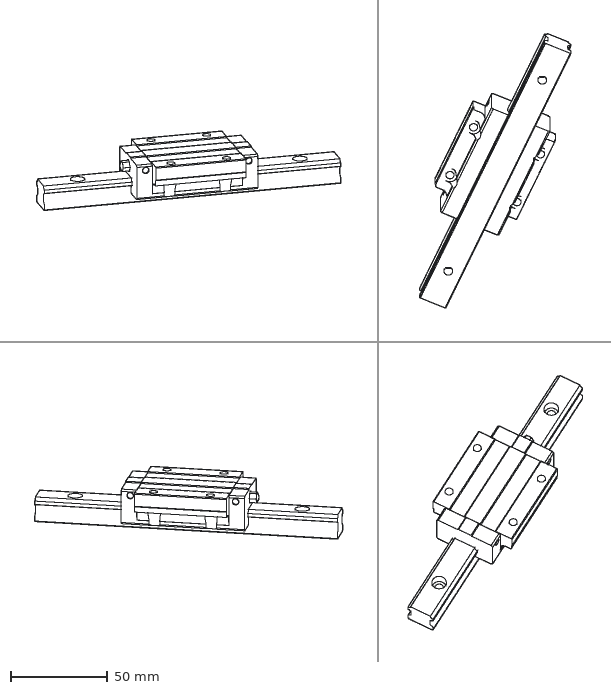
import cadquery as cq
import math


RAIL_LENGTH = 160.0
RAIL_HALF_WIDTH = 7.5
RAIL_HEIGHT = 13.1
RAIL_FOOT_CHAMFER = 0.5
FOOT_TOP_Z = 3.2
SHOULDER_Z = 4.8
NECK_HALF_WIDTH = 5.6
NECK_TOP_Z = 8.0
LEDGE_HALF_WIDTH = 6.7
LEDGE_Z = 9.3
HEAD_SIDE_TOP_Z = 11.4
RAIL_TOP_HALF_WIDTH = 6.0
RAIL_TOP_LIP = 0.3
NECK_EDGE_RADIUS = 0.6
HEAD_EDGE_RADIUS = 0.5
RAIL_HOLE_SPACING = 120.0
RAIL_HOLE_DIAMETER = 4.5
RAIL_COUNTERBORE_DIAMETER = 7.5
RAIL_COUNTERBORE_DEPTH = 5.3

TOTAL_HEIGHT = 24.0
BLOCK_LENGTH = 48.6
FLANGE_HALF_WIDTH = 23.5
FLANGE_TOP_CHAMFER = 0.5
FLANGE_STEP = 0.5
FLANGE_STEP_Z = 17.0
FLANGE_BOTTOM_Z = 13.5
FLANGE_FILLET_RADIUS = 2.5
FLANGE_EDGE_RADIUS = 0.6
WALL_HALF_WIDTH = 17.1
WALL_INSET = 0.6
GROOVE_DEPTH = 0.5
GROOVE_INNER = 4.8
GROOVE_OUTER = 13.6

CAP_TOTAL_LENGTH = 65.3
CAP_HALF_WIDTH = 16.6
CAP_TOP_Z = 23.8
CAP_BOTTOM_Z = 4.5
CAP_BOTTOM_CHAMFER = 1.0
CAP_SHOULDER_DROP = 0.5
CAP_RIDGE_HALF_WIDTH = 3.7
CAP_TOP_CHAMFER = 1.0
STRIP_TOP_Z = 7.2
SIDE_HOLE_DIAMETER = 3.4
SIDE_HOLE_DEPTH = 1.0
SIDE_HOLE_Y = 27.8
SIDE_HOLE_Z = 20.3

MOUNT_SPACING_X = 38.0
MOUNT_SPACING_Y = 30.0
MOUNT_HOLE_DIAMETER = 4.2
SCREW_RELIEF_DIAMETER = 7.5

NIPPLE_Z = 18.0
NIPPLE_SIDES = 6
NIPPLE_ACROSS_FLATS = 5.0
NIPPLE_LENGTH = 3.5
NIPPLE_DOME_HEIGHT = 1.0
NIPPLE_DOME_DIAMETER = 5.0
NIPPLE_SEAT_DIAMETER = 6.2
NIPPLE_SEAT_DEPTH = 1.0


def extrude_along_rail(profile, length):
    """Extrude a closed XZ outline symmetrically about Y = 0."""
    return profile.close().extrude(length / 2, both=True)


def slab(half_width, length, z_bottom, z_top):
    """Box centred on X = 0 and Y = 0 between two heights."""
    height = z_top - z_bottom
    return cq.Workplane("XY", origin=(0, 0, z_bottom)).box(
        2 * half_width, length, height, centered=(True, True, False)
    )


def round_long_edges(body, corners, radius):
    """Fillet the edges along Y that pass nearest each (x, z) corner and its mirror image."""
    for x, z in corners:
        for side in (-1, 1):
            edge = cq.selectors.NearestToPointSelector((side * x, 0, z))
            body = body.edges("|Y").edges(edge).fillet(radius)
    return body


def rail_blank():
    """Rail section: chamfered foot, narrow neck and a head with concave upper corners."""
    arc_width = RAIL_HALF_WIDTH - RAIL_TOP_HALF_WIDTH
    lip_z = RAIL_HEIGHT - RAIL_TOP_LIP
    arc_height = lip_z - HEAD_SIDE_TOP_Z
    arc_x = RAIL_HALF_WIDTH - arc_width * math.sin(math.pi / 4)
    arc_z = lip_z - arc_height * math.sin(math.pi / 4)
    right_side = [
        (RAIL_HALF_WIDTH - RAIL_FOOT_CHAMFER, 0),
        (RAIL_HALF_WIDTH, RAIL_FOOT_CHAMFER),
        (RAIL_HALF_WIDTH, FOOT_TOP_Z),
        (NECK_HALF_WIDTH, SHOULDER_Z),
        (NECK_HALF_WIDTH, NECK_TOP_Z),
        (LEDGE_HALF_WIDTH, LEDGE_Z),
        (RAIL_HALF_WIDTH, LEDGE_Z),
        (RAIL_HALF_WIDTH, HEAD_SIDE_TOP_Z),
    ]
    left_side = [(-x, z) for x, z in reversed(right_side)]
    profile = (
        cq.Workplane("XZ")
        .polyline(right_side)
        .threePointArc((arc_x, arc_z), (RAIL_TOP_HALF_WIDTH, lip_z))
        .lineTo(RAIL_TOP_HALF_WIDTH, RAIL_HEIGHT)
        .lineTo(-RAIL_TOP_HALF_WIDTH, RAIL_HEIGHT)
        .lineTo(-RAIL_TOP_HALF_WIDTH, lip_z)
        .threePointArc((-arc_x, arc_z), left_side[0])
    )
    for point in left_side[1:]:
        profile = profile.lineTo(*point)
    blank = extrude_along_rail(profile, RAIL_LENGTH)
    neck_corners = [
        (RAIL_HALF_WIDTH, FOOT_TOP_Z),
        (NECK_HALF_WIDTH, SHOULDER_Z),
        (NECK_HALF_WIDTH, NECK_TOP_Z),
    ]
    blank = round_long_edges(blank, neck_corners, NECK_EDGE_RADIUS)
    return round_long_edges(blank, [(RAIL_HALF_WIDTH, LEDGE_Z)], HEAD_EDGE_RADIUS)


def make_rail():
    """Rail with counterbored screw holes."""
    return (
        rail_blank()
        .faces(">Z")
        .workplane(origin=(0, 0, RAIL_HEIGHT))
        .rarray(1.6, RAIL_HOLE_SPACING, 1, 2)
        .cboreHole(RAIL_HOLE_DIAMETER, RAIL_COUNTERBORE_DIAMETER, RAIL_COUNTERBORE_DEPTH)
    )


def flanged_block():
    """Middle of the carriage: two flanges filleted into walls that lean inward."""
    fillet_end_z = FLANGE_BOTTOM_Z - FLANGE_FILLET_RADIUS
    fillet_start_x = WALL_HALF_WIDTH + FLANGE_FILLET_RADIUS
    fillet_offset = FLANGE_FILLET_RADIUS * (1 - math.sin(math.pi / 4))
    wall_foot_x = WALL_HALF_WIDTH - WALL_INSET
    lower_flange_x = FLANGE_HALF_WIDTH - FLANGE_STEP
    side = (
        cq.Workplane("XZ")
        .moveTo(0, STRIP_TOP_Z)
        .lineTo(wall_foot_x, STRIP_TOP_Z)
        .lineTo(WALL_HALF_WIDTH, fillet_end_z)
        .threePointArc(
            (WALL_HALF_WIDTH + fillet_offset, FLANGE_BOTTOM_Z - fillet_offset),
            (fillet_start_x, FLANGE_BOTTOM_Z),
        )
        .lineTo(lower_flange_x - FLANGE_EDGE_RADIUS, FLANGE_BOTTOM_Z)
        .tangentArcPoint((lower_flange_x, FLANGE_BOTTOM_Z + FLANGE_EDGE_RADIUS), relative=False)
        .lineTo(lower_flange_x, FLANGE_STEP_Z - FLANGE_STEP)
        .lineTo(FLANGE_HALF_WIDTH, FLANGE_STEP_Z)
        .lineTo(FLANGE_HALF_WIDTH, TOTAL_HEIGHT - FLANGE_TOP_CHAMFER)
        .lineTo(FLANGE_HALF_WIDTH - FLANGE_TOP_CHAMFER, TOTAL_HEIGHT)
        .lineTo(0, TOTAL_HEIGHT)
    )
    half_block = extrude_along_rail(side, BLOCK_LENGTH)
    return half_block.union(half_block.mirror("YZ"))


def top_groove(direction):
    """Shallow groove with sloped sides in the top of the block, on one side of the middle."""
    floor_z = TOTAL_HEIGHT - GROOVE_DEPTH
    profile = cq.Workplane("XZ").polyline([
        (direction * (GROOVE_INNER - GROOVE_DEPTH / 2), TOTAL_HEIGHT),
        (direction * (GROOVE_INNER + GROOVE_DEPTH / 2), floor_z),
        (direction * (GROOVE_OUTER - GROOVE_DEPTH / 2), floor_z),
        (direction * (GROOVE_OUTER + GROOVE_DEPTH / 2), TOTAL_HEIGHT),
    ])
    return extrude_along_rail(profile, BLOCK_LENGTH)


def cap_blank():
    """Chamfered end cap section with a low middle ridge, over the full carriage length."""
    shoulder_z = CAP_TOP_Z - CAP_SHOULDER_DROP
    right_side = [
        (CAP_HALF_WIDTH - CAP_BOTTOM_CHAMFER, CAP_BOTTOM_Z),
        (CAP_HALF_WIDTH, CAP_BOTTOM_Z + CAP_BOTTOM_CHAMFER),
        (CAP_HALF_WIDTH, shoulder_z - CAP_TOP_CHAMFER),
        (CAP_HALF_WIDTH - CAP_TOP_CHAMFER, shoulder_z),
        (CAP_RIDGE_HALF_WIDTH + CAP_SHOULDER_DROP, shoulder_z),
        (CAP_RIDGE_HALF_WIDTH, CAP_TOP_Z),
    ]
    left_side = [(-x, z) for x, z in reversed(right_side)]
    profile = cq.Workplane("XZ").polyline(right_side + left_side)
    return extrude_along_rail(profile, CAP_TOTAL_LENGTH)


def caps_and_strip():
    """Both end caps, joined under the block by the base strip."""
    middle = slab(FLANGE_HALF_WIDTH, BLOCK_LENGTH, STRIP_TOP_Z, TOTAL_HEIGHT)
    caps = cap_blank().cut(middle)
    side_holes = (
        cq.Workplane("YZ")
        .rarray(2 * SIDE_HOLE_Y, 1.6, 2, 1)
        .circle(SIDE_HOLE_DIAMETER / 2)
        .extrude(CAP_HALF_WIDTH, both=True)
        .translate((0, 0, SIDE_HOLE_Z))
    )
    core = slab(CAP_HALF_WIDTH - SIDE_HOLE_DEPTH, CAP_TOTAL_LENGTH, CAP_BOTTOM_Z, TOTAL_HEIGHT)
    return caps.cut(side_holes.cut(core))


def mount_cylinders(diameter, z_bottom, z_top):
    """Four upright cylinders on the mounting hole positions."""
    return (
        cq.Workplane("XY", origin=(0, 0, z_bottom))
        .rarray(MOUNT_SPACING_X, MOUNT_SPACING_Y, 2, 2)
        .circle(diameter / 2)
        .extrude(z_top - z_bottom)
    )


def make_carriage():
    """Block and end caps in one body, riding on the rail."""
    carriage = flanged_block().union(caps_and_strip())
    for direction in (-1, 1):
        carriage = carriage.cut(top_groove(direction))
    nipple_seat = (
        cq.Workplane("XZ", origin=(0, -CAP_TOTAL_LENGTH / 2, NIPPLE_Z))
        .circle(NIPPLE_SEAT_DIAMETER / 2)
        .extrude(-NIPPLE_SEAT_DEPTH)
    )
    return (
        carriage
        .cut(mount_cylinders(MOUNT_HOLE_DIAMETER, FLANGE_BOTTOM_Z, TOTAL_HEIGHT))
        .cut(mount_cylinders(SCREW_RELIEF_DIAMETER, CAP_BOTTOM_Z, FLANGE_BOTTOM_Z))
        .cut(nipple_seat)
        .cut(rail_blank())
    )


def make_nipple():
    """Hexagonal grease nipple with a domed tip, standing on the floor of its seat."""
    seat_floor_y = -CAP_TOTAL_LENGTH / 2 + NIPPLE_SEAT_DEPTH
    hexagon = (
        cq.Workplane("XZ", origin=(0, seat_floor_y, NIPPLE_Z))
        .polygon(NIPPLE_SIDES, NIPPLE_ACROSS_FLATS / math.cos(math.pi / NIPPLE_SIDES))
        .extrude(NIPPLE_SEAT_DEPTH + NIPPLE_LENGTH)
    )
    dome_base_y = -CAP_TOTAL_LENGTH / 2 - NIPPLE_LENGTH
    dome_radius = NIPPLE_DOME_DIAMETER / 2
    sphere_radius = (dome_radius**2 + NIPPLE_DOME_HEIGHT**2) / (2 * NIPPLE_DOME_HEIGHT)
    sphere_centre_y = dome_base_y - NIPPLE_DOME_HEIGHT + sphere_radius
    dome_envelope = (
        cq.Workplane("XZ", origin=(0, dome_base_y, NIPPLE_Z))
        .circle(dome_radius)
        .extrude(NIPPLE_DOME_HEIGHT)
    )
    sphere = cq.Workplane("XY").sphere(sphere_radius).translate((0, sphere_centre_y, NIPPLE_Z))
    return hexagon.union(dome_envelope.intersect(sphere))


rail = make_rail()
carriage = make_carriage()
nipple = make_nipple()

result = cq.Compound.makeCompound([rail.val(), carriage.val(), nipple.val()])